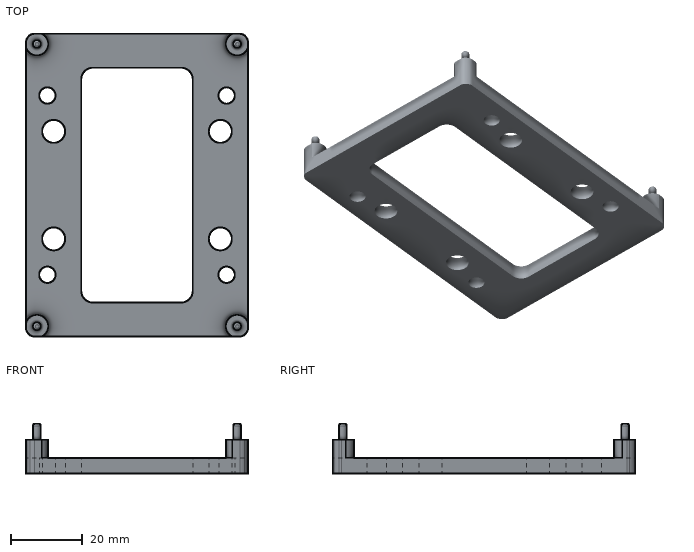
import cadquery as cq

plate_width = 62.0
plate_length = 84.5
plate_thickness = 4.4
corner_radius = 2.4

opening_width = 31
opening_length = 65.45
opening_radius = 3.175

small_hole_diameter = 4.5
small_hole_spacing_x = 50.0
small_hole_spacing_y = 50.0
large_hole_diameter = 6.35
large_hole_spacing_x = 46.5
large_hole_spacing_y = 30.0

post_spacing_x = 55.88
post_spacing_y = 78.74
post_diameter = 6.35
post_top = 9.525
pin_diameter = 2.2
pin_top = 13.97
pin_round = 0.6


def rounded_block(width, length, height, radius):
    """Block standing on Z = 0 with rounded vertical edges."""
    block = cq.Workplane("XY").box(width, length, height, centered=(True, True, False))
    return block.edges("|Z").fillet(radius)


def cylinders(spacing_x, spacing_y, diameter, bottom, top):
    """Four upright cylinders at the corners of a centred rectangle."""
    pattern = cq.Workplane("XY").workplane(offset=bottom).rect(spacing_x, spacing_y, forConstruction=True)
    return pattern.vertices().circle(diameter / 2).extrude(top - bottom)


def outline_block(height):
    """Block with the outer outline: rounded corners, trimmed where they pass outside the post circles."""
    block = rounded_block(plate_width, plate_length, height, corner_radius)
    centre_block = cq.Workplane("XY").box(
        plate_width, post_spacing_y, height, centered=(True, True, False)
    )
    cross_block = cq.Workplane("XY").box(
        post_spacing_x, plate_length, height, centered=(True, True, False)
    )
    post_circles = cylinders(post_spacing_x, post_spacing_y, post_diameter, 0, height)
    return block.intersect(centre_block.union(cross_block).union(post_circles))


def make_plate():
    plate = outline_block(plate_thickness)
    opening = rounded_block(opening_width, opening_length, plate_thickness, opening_radius)
    small_holes = cylinders(
        small_hole_spacing_x, small_hole_spacing_y, small_hole_diameter, 0, plate_thickness
    )
    large_holes = cylinders(
        large_hole_spacing_x, large_hole_spacing_y, large_hole_diameter, 0, plate_thickness
    )
    return plate.cut(opening).cut(small_holes).cut(large_holes)


def make_posts():
    """Posts trimmed flush with the plate outline."""
    posts = cylinders(post_spacing_x, post_spacing_y, post_diameter, 0, post_top)
    return posts.intersect(outline_block(post_top))


def make_pins():
    pins = cylinders(post_spacing_x, post_spacing_y, pin_diameter, post_top, pin_top)
    return pins.faces(">Z").edges().fillet(pin_round)


result = make_plate().union(make_posts()).union(make_pins())